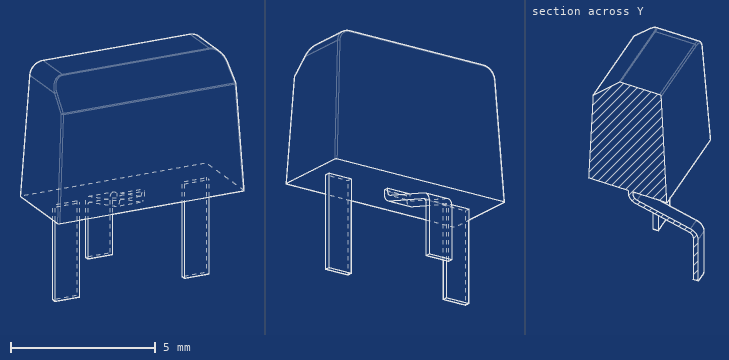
import cadquery as cq
import math

body_depth = 3.0
body_width = 7.2
body_height = 5.0
face_draft = 2.5
end_inset = 0.29
bevel_start = 1.8
top_corner_radius = 0.5
edge_radius = 0.06

lead_thickness = 0.2
lead_width = 0.95
lead_pitch = 2.5
lead_x = 1.28
straight_lead_length = 3.5
bent_lead_length = 3.21
bent_lead_x = -1.2
bent_corner_z = -0.935
arm_slope = 15
inner_bend_radius = 0.195
outer_bend_radius = inner_bend_radius + lead_thickness


def make_body():
    draft = math.tan(math.radians(face_draft))
    bevel_end_z = (bevel_start + body_height - body_depth) / (1 - draft)
    side_profile = (
        cq.Workplane("XZ")
        .polyline([
            (0, 0),
            (body_depth, 0),
            (body_depth - draft * bevel_end_z, bevel_end_z),
            (bevel_start, body_height),
            (draft * body_height, body_height),
        ])
        .close()
        .extrude(body_width / 2, both=True)
    )
    half_width = body_width / 2
    half_top = half_width - end_inset
    end_profile = (
        cq.Workplane("YZ")
        .polyline([
            (-half_width, 0),
            (half_width, 0),
            (half_top, body_height),
            (-half_top, body_height),
        ])
        .close()
        .extrude(body_depth)
        .edges("|X and >Z")
        .fillet(top_corner_radius)
    )
    block = side_profile.intersect(end_profile)
    rims = block.faces("<X or >X").edges("not <Z").add(block.faces(">(1,0,1)").edges())
    return rims.fillet(edge_radius)


def make_straight_lead(y):
    return (
        cq.Workplane("XY")
        .box(lead_thickness, lead_width, straight_lead_length, centered=(False, True, False))
        .translate((lead_x, y, -straight_lead_length))
    )


def make_bent_lead():
    upper_corner_z = bent_corner_z + (lead_x - bent_lead_x) * math.tan(math.radians(arm_slope))
    mitre_drop = lead_thickness * math.tan(math.radians((90 - arm_slope) / 2))
    strip = (
        cq.Workplane("XZ")
        .polyline([
            (bent_lead_x, -bent_lead_length),
            (bent_lead_x, bent_corner_z),
            (lead_x, upper_corner_z),
            (lead_x, 0),
            (lead_x + lead_thickness, 0),
            (lead_x + lead_thickness, upper_corner_z - mitre_drop),
            (bent_lead_x + lead_thickness, bent_corner_z - mitre_drop),
            (bent_lead_x + lead_thickness, -bent_lead_length),
        ])
        .close()
        .extrude(lead_width / 2, both=True)
    )

    def bend_edge(x, z):
        return cq.selectors.NearestToPointSelector((x, 0, z))

    outer_corners = [
        (bent_lead_x, bent_corner_z),
        (lead_x + lead_thickness, upper_corner_z - mitre_drop),
    ]
    inner_corners = [
        (lead_x, upper_corner_z),
        (bent_lead_x + lead_thickness, bent_corner_z - mitre_drop),
    ]
    for x, z in outer_corners:
        strip = strip.edges("|Y").edges(bend_edge(x, z)).fillet(outer_bend_radius)
    for x, z in inner_corners:
        strip = strip.edges("|Y").edges(bend_edge(x, z)).fillet(inner_bend_radius)
    return strip


result = make_body().union(make_bent_lead())
for lead_y in (-lead_pitch, lead_pitch):
    result = result.union(make_straight_lead(lead_y))